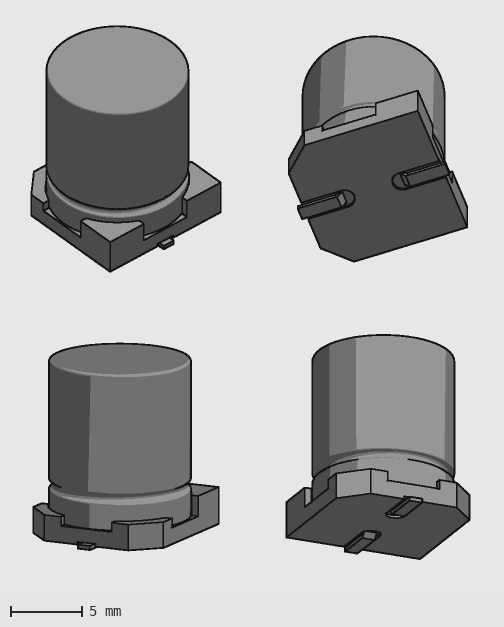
import cadquery as cq
import math


total_height = 12.6
lead_span = 11.0
base_side = 10.3

can_radius = 10.0 / 2
can_top_fillet = 0.2
groove_radius = 0.32
groove_lip_fillet = 0.15
groove_height = 3.64

base_bottom = 0.2
seat_height = 1.4
low_corner_height = 2.07
high_corner_height = 2.86
corner_chamfer = 1.84
notch_width = 4.0
seat_clearance = 0.05

lead_width = 0.95
lead_thickness = 0.3
lead_flat_length = 2.94
relief_radius = 0.72
relief_top = 0.4
lead_tip_distance = lead_flat_length + relief_top


def make_can():
    """Revolved can with a rounded top edge and a crimp groove near the bottom."""
    lip_center_radius = can_radius - groove_lip_fillet
    lip_offset = math.sqrt((groove_radius + groove_lip_fillet) ** 2 - groove_lip_fillet ** 2)

    share = groove_radius / (groove_radius + groove_lip_fillet)
    meet_radius = can_radius - share * groove_lip_fillet
    meet_offset = share * lip_offset

    lip_angle = math.atan2(lip_offset, groove_lip_fillet) / 2
    lip_mid_radius = lip_center_radius + groove_lip_fillet * math.cos(lip_angle)
    lip_mid_offset = lip_offset - groove_lip_fillet * math.sin(lip_angle)

    profile = (
        cq.Workplane("XZ")
        .moveTo(0, seat_height)
        .lineTo(can_radius, seat_height)
        .lineTo(can_radius, groove_height - lip_offset)
        .threePointArc(
            (lip_mid_radius, groove_height - lip_mid_offset),
            (meet_radius, groove_height - meet_offset),
        )
        .threePointArc(
            (can_radius - groove_radius, groove_height),
            (meet_radius, groove_height + meet_offset),
        )
        .threePointArc(
            (lip_mid_radius, groove_height + lip_mid_offset),
            (can_radius, groove_height + lip_offset),
        )
        .lineTo(can_radius, total_height)
        .lineTo(0, total_height)
        .close()
    )
    can = profile.revolve(360, (0, 0, 0), (0, 1, 0))
    return can.faces(">Z").edges().fillet(can_top_fillet)


def make_base():
    """Base plate with four raised corners around the round can seat."""
    base = (
        cq.Workplane("XY")
        .workplane(offset=base_bottom)
        .rect(base_side, base_side)
        .extrude(high_corner_height - base_bottom)
    )
    base = base.edges("|Z and <X").chamfer(corner_chamfer)

    low_half = (
        cq.Workplane("XY")
        .workplane(offset=low_corner_height)
        .center(-base_side / 2, 0)
        .rect(base_side, base_side)
        .extrude(high_corner_height - low_corner_height)
    )

    seat_plane = cq.Workplane("XY").workplane(offset=seat_height)
    seat_depth = high_corner_height - seat_height
    seat = seat_plane.circle(can_radius + seat_clearance).extrude(seat_depth)
    notch_along_x = seat_plane.rect(base_side, notch_width).extrude(seat_depth)
    notch_along_y = seat_plane.rect(notch_width, base_side).extrude(seat_depth)

    slot_end = lead_span / 2 - lead_tip_distance
    slot_length = base_side / 2 - slot_end
    relief_plane = cq.Workplane("XY").workplane(offset=base_bottom)
    relief_depth = relief_top - base_bottom
    slot_centers = [(side * (slot_end + slot_length / 2), 0) for side in (-1, 1)]
    slot_ends = [(side * slot_end, 0) for side in (-1, 1)]
    slots = relief_plane.pushPoints(slot_centers).rect(slot_length, 2 * relief_radius).extrude(relief_depth)
    round_ends = relief_plane.pushPoints(slot_ends).circle(relief_radius).extrude(relief_depth)

    for cutter in (low_half, seat, notch_along_x, notch_along_y, slots, round_ends):
        base = base.cut(cutter)
    return base


def make_lead(side):
    """Flat lead bent up at 45 degrees into the base; side is -1 for -X and 1 for +X."""
    inner_bend = lead_flat_length - lead_thickness * math.tan(math.radians(45 / 2))
    inner_top = inner_bend + relief_top - lead_thickness
    profile = [
        (0, 0),
        (0, lead_thickness),
        (inner_bend, lead_thickness),
        (inner_top, relief_top),
        (lead_tip_distance, relief_top),
        (lead_flat_length, 0),
    ]
    points = [(side * (lead_span / 2 - distance), height) for distance, height in profile]
    return cq.Workplane("XZ").polyline(points).close().extrude(lead_width / 2, both=True)


result = make_base().union(make_can())
for lead_side in (-1, 1):
    result = result.union(make_lead(lead_side))